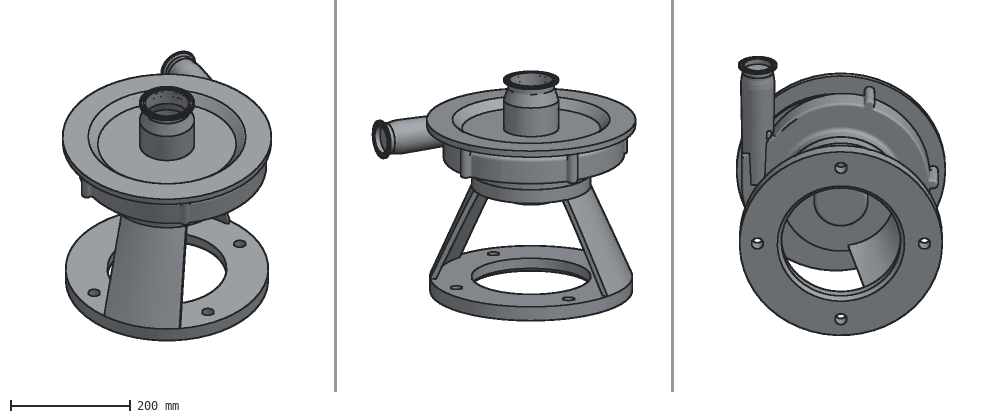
import cadquery as cq
import math

BASE_RADIUS = 170.0
BASE_BORE_RADIUS = 100.0
BASE_THICKNESS = 24.5
BASE_BORE_CHAMFER = 6.5
BOLT_CIRCLE_RADIUS = 140.0
BOLT_HOLE_DIAMETER = 19.5
BOLT_HOLE_COUNT = 4
FIRST_BOLT_ANGLE = 45

DRUM_RADIUS = 100.0
DRUM_BOTTOM = 184.0
COLLAR_RADIUS = 100.5
COLLAR_BOTTOM = 208.0
COLLAR_FLARE = 7.0

HUB_RADIUS = 45.0
HUB_BOTTOM = 162.7
HUB_FILLET = 5.5

LEG_RADIAL_THICKNESS = 10.3
LEG_TOP_WIDTH = 112.5
LEG_BOTTOM_WIDTH = 131.0
LEG_EDGE_FILLET = 2.2

VOLUTE_RADIUS = 158.0
VOLUTE_CENTER = (8.0, 4.0)
VOLUTE_BOTTOM = 233.0
VOLUTE_TOP = 278.5
VOLUTE_TOP_FILLET = 6.5
VOLUTE_BOTTOM_FILLET = 4.0
TONGUE_TIP = (15.5, 142.0)
THROAT_LENGTH = 53.5
LIP_INSET = 11.0
LIP_TOP = 285.5
NECK_INSET = 18.0

PLATE_RADIUS = 175.0
PLATE_BOTTOM = 289.5
PLATE_TOP = 300.0
DISH_RIM_RADIUS = 132.0
DISH_WALL_RADIUS = 129.5
DISH_FLOOR_RADIUS = 116.0
DISH_RIM_DEPTH = 2.0
DISH_DEPTH = 15.5
DISH_FLOOR = PLATE_TOP - DISH_DEPTH

POST_COUNT = 5
POST_RADIUS = 8.5
POST_CIRCLE_RADIUS = 154.3
FIRST_POST_ANGLE = 9
EDGE_TOLERANCE = 0.05
POST_BLEND_FILLET = 2.5

INLET_TOP = 370.5
INLET_BARREL_RADIUS = 46.0
INLET_BARREL_TOP = 335.0
INLET_NECK_RADIUS = 39.0
INLET_NECK_BOTTOM = 356.0
INLET_BORE_RADIUS = 36.5
INLET_BORE_BOTTOM = 342.0
INLET_CHAMBER_RADIUS = 43.0
INLET_CHAMBER_TOP = 324.0

OUTLET_OFFSET = 139.5
OUTLET_HEIGHT = 255.5
OUTLET_ANGLE = 45
OUTLET_LENGTH = 211.5
OUTLET_ROOT_RADIUS = 25.0
OUTLET_MAX_RADIUS = 28.5
OUTLET_NECK_RADIUS = 26.5
OUTLET_FLANGE_RADIUS = 32.0
OUTLET_FERRULE_RADIUS = 26.0
OUTLET_REDUCER_START = 177.5
OUTLET_REDUCER_BEND = 186.0
OUTLET_REDUCER_BEND_RADIUS = 27.5
OUTLET_REDUCER_END = 193.5
OUTLET_FERRULE_START = 198.5
OUTLET_BORE_RADIUS = 23.0
OUTLET_BORE_DEPTH = 10.0

FLANGE_RIM = 2.2
FLANGE_TAPER = 3.0
GROOVE_EDGE_MARGIN = 2.5
GROOVE_WIDTH = 3.5
GROOVE_DEPTH = 1.5


def disc(radius, bottom, top, center=(0, 0)):
    """Upright cylinder between two heights."""
    return cq.Workplane("XY", origin=(*center, bottom)).circle(radius).extrude(top - bottom)


def revolved(profile):
    """Solid of revolution about Z from (radius, height) points."""
    return cq.Workplane("XZ").polyline(profile).close().revolve(360, (0, 0), (0, 1))


def cone(bottom_radius, top_radius, bottom, top):
    """Upright solid frustum between two heights."""
    return revolved([(0, bottom), (bottom_radius, bottom), (top_radius, top), (0, top)])


def base_ring():
    """Bolted foot ring whose bore is chamfered underneath."""
    ring = disc(BASE_RADIUS, 0, BASE_THICKNESS).cut(disc(BASE_BORE_RADIUS, 0, BASE_THICKNESS))
    bottom_bore_edge = ring.faces("<Z").edges(cq.selectors.RadiusNthSelector(0))
    ring = bottom_bore_edge.chamfer(BASE_BORE_CHAMFER)
    return (
        ring.faces(">Z")
        .workplane(origin=(0, 0, BASE_THICKNESS))
        .polarArray(BOLT_CIRCLE_RADIUS, FIRST_BOLT_ANGLE, 360, BOLT_HOLE_COUNT)
        .hole(BOLT_HOLE_DIAMETER)
    )


def legs():
    """Two tapering legs, front and back, cut from a conical shell."""
    outer = cone(BASE_RADIUS, DRUM_RADIUS, BASE_THICKNESS, DRUM_BOTTOM)
    inner = cone(
        BASE_RADIUS - LEG_RADIAL_THICKNESS,
        DRUM_RADIUS - LEG_RADIAL_THICKNESS,
        BASE_THICKNESS,
        DRUM_BOTTOM,
    )
    half_bottom = LEG_BOTTOM_WIDTH / 2
    half_top = LEG_TOP_WIDTH / 2
    width_slice = (
        cq.Workplane("XZ")
        .polyline([
            (-half_bottom, BASE_THICKNESS),
            (half_bottom, BASE_THICKNESS),
            (half_top, DRUM_BOTTOM),
            (-half_top, DRUM_BOTTOM),
        ])
        .close()
        .extrude(BASE_RADIUS, both=True)
    )
    leg = outer.cut(inner).intersect(width_slice).solids(">Y")
    leg = cq.Workplane(leg.val())
    inner_side_edges = leg.edges("%HYPERBOLA").sort(lambda edge: edge.Center().y)[:2]
    leg = inner_side_edges.fillet(LEG_EDGE_FILLET)
    return leg.add(leg.mirror("XZ")).combine()


def drum():
    """Mounting drum, collar flaring into the volute floor, and the shaft hub."""
    hub = disc(HUB_RADIUS, HUB_BOTTOM, DRUM_BOTTOM).faces("<Z").edges().fillet(HUB_FILLET)
    flare_start = VOLUTE_BOTTOM - COLLAR_FLARE
    flare_radius = COLLAR_RADIUS + COLLAR_FLARE
    bend = COLLAR_FLARE * (1 - math.sqrt(0.5))
    collar = (
        cq.Workplane("XZ")
        .moveTo(0, COLLAR_BOTTOM)
        .lineTo(COLLAR_RADIUS, COLLAR_BOTTOM)
        .lineTo(COLLAR_RADIUS, flare_start)
        .threePointArc((COLLAR_RADIUS + bend, VOLUTE_BOTTOM - bend), (flare_radius, VOLUTE_BOTTOM))
        .lineTo(0, VOLUTE_BOTTOM)
        .close()
        .revolve(360, (0, 0), (0, 1))
    )
    return disc(DRUM_RADIUS, DRUM_BOTTOM, COLLAR_BOTTOM).union(collar).union(hub)


def posts(top):
    """Ring of posts rising from the volute floor level."""
    return (
        cq.Workplane("XY", origin=(0, 0, VOLUTE_BOTTOM))
        .polarArray(POST_CIRCLE_RADIUS, FIRST_POST_ANGLE, 360, POST_COUNT)
        .circle(POST_RADIUS)
        .extrude(top - VOLUTE_BOTTOM)
    )


def borders_post(edge):
    """True for an upright edge lying on the surface of a post."""
    for index in range(POST_COUNT):
        angle = math.radians(FIRST_POST_ANGLE + index * 360 / POST_COUNT)
        offset_x = edge.Center().x - POST_CIRCLE_RADIUS * math.cos(angle)
        offset_y = edge.Center().y - POST_CIRCLE_RADIUS * math.sin(angle)
        if abs(math.hypot(offset_x, offset_y) - POST_RADIUS) < EDGE_TOLERANCE:
            return True
    return False


def volute():
    """Eccentric casing with a straight throat along the outlet and a tighter start at the tongue."""
    center_x, center_y = VOLUTE_CENTER
    normal_x = math.cos(math.radians(OUTLET_ANGLE))
    normal_y = math.sin(math.radians(OUTLET_ANGLE))
    throat_start = (center_x + VOLUTE_RADIUS * normal_x, center_y + VOLUTE_RADIUS * normal_y)
    throat_end = (throat_start[0] - THROAT_LENGTH * normal_y, throat_start[1] + THROAT_LENGTH * normal_x)
    body = (
        cq.Workplane("XY", origin=(0, 0, VOLUTE_BOTTOM))
        .moveTo(*throat_end)
        .lineTo(*throat_start)
        .threePointArc((center_x, center_y - VOLUTE_RADIUS), (center_x - VOLUTE_RADIUS, center_y))
        .tangentArcPoint(TONGUE_TIP, relative=False)
        .close()
        .extrude(VOLUTE_TOP - VOLUTE_BOTTOM)
    )
    body = body.union(posts(VOLUTE_TOP))
    body = body.edges("|Z").filter(borders_post).fillet(POST_BLEND_FILLET)
    body = body.faces(">Z").edges().fillet(VOLUTE_TOP_FILLET)
    body = body.faces("<Z").edges().fillet(VOLUTE_BOTTOM_FILLET)
    lip = disc(VOLUTE_RADIUS - LIP_INSET, VOLUTE_TOP, LIP_TOP, VOLUTE_CENTER)
    neck = disc(VOLUTE_RADIUS - NECK_INSET, LIP_TOP, PLATE_BOTTOM, VOLUTE_CENTER)
    shoulder = VOLUTE_TOP - VOLUTE_TOP_FILLET
    upper_posts = posts(PLATE_BOTTOM).intersect(disc(PLATE_RADIUS, shoulder, PLATE_BOTTOM))
    return body.union(lip).union(neck).union(upper_posts)


def dish():
    """Round recess in the top of the plate: bevelled rim, then a sloping wall."""
    return revolved([
        (0, PLATE_TOP),
        (DISH_RIM_RADIUS, PLATE_TOP),
        (DISH_WALL_RADIUS, PLATE_TOP - DISH_RIM_DEPTH),
        (DISH_FLOOR_RADIUS, DISH_FLOOR),
        (0, DISH_FLOOR),
    ])


def inlet():
    """Barrel, reducer and clamp flange standing on the dish floor."""
    rim_bottom = INLET_TOP - FLANGE_RIM
    return revolved([
        (0, DISH_FLOOR),
        (INLET_BARREL_RADIUS, DISH_FLOOR),
        (INLET_BARREL_RADIUS, INLET_BARREL_TOP),
        (INLET_NECK_RADIUS, INLET_NECK_BOTTOM),
        (INLET_NECK_RADIUS, rim_bottom - FLANGE_TAPER),
        (INLET_BARREL_RADIUS, rim_bottom),
        (INLET_BARREL_RADIUS, INLET_TOP),
        (0, INLET_TOP),
    ])


def along_outlet(shape):
    """Lay a Z-axis solid along the outlet axis, pointing to -X +Y."""
    return (
        shape.rotate((0, 0, 0), (1, 0, 0), -90)
        .translate((OUTLET_OFFSET, 0, OUTLET_HEIGHT))
        .rotate((0, 0, 0), (0, 0, 1), OUTLET_ANGLE)
    )


def outlet():
    """Slightly flaring pipe with a reducer, a ferrule and a clamp flange."""
    rim_start = OUTLET_LENGTH - FLANGE_RIM
    return along_outlet(revolved([
        (0, 0),
        (OUTLET_ROOT_RADIUS, 0),
        (OUTLET_MAX_RADIUS, OUTLET_REDUCER_START),
        (OUTLET_REDUCER_BEND_RADIUS, OUTLET_REDUCER_BEND),
        (OUTLET_NECK_RADIUS, OUTLET_REDUCER_END),
        (OUTLET_NECK_RADIUS, OUTLET_FERRULE_START),
        (OUTLET_FERRULE_RADIUS, OUTLET_FERRULE_START),
        (OUTLET_FERRULE_RADIUS, rim_start - FLANGE_TAPER),
        (OUTLET_FLANGE_RADIUS, rim_start),
        (OUTLET_FLANGE_RADIUS, OUTLET_LENGTH),
        (0, OUTLET_LENGTH),
    ]))


def gasket_groove(flange_radius, face_height):
    """Shallow ring groove in a clamp flange face."""
    outer_radius = flange_radius - GROOVE_EDGE_MARGIN
    bottom = face_height - GROOVE_DEPTH
    core = disc(outer_radius - GROOVE_WIDTH, bottom, face_height)
    return disc(outer_radius, bottom, face_height).cut(core)


def inlet_cavity():
    """Bore that widens into the barrel and ends level with the dish floor."""
    return revolved([
        (0, DISH_FLOOR),
        (INLET_CHAMBER_RADIUS, DISH_FLOOR),
        (INLET_CHAMBER_RADIUS, INLET_CHAMBER_TOP),
        (INLET_BORE_RADIUS, INLET_BORE_BOTTOM),
        (INLET_BORE_RADIUS, INLET_TOP),
        (0, INLET_TOP),
    ]).union(gasket_groove(INLET_BARREL_RADIUS, INLET_TOP))


def outlet_cavity():
    """Shallow blind bore and gasket groove in the outlet face."""
    bore = disc(OUTLET_BORE_RADIUS, OUTLET_LENGTH - OUTLET_BORE_DEPTH, OUTLET_LENGTH)
    return along_outlet(bore.union(gasket_groove(OUTLET_FLANGE_RADIUS, OUTLET_LENGTH)))


plate = disc(PLATE_RADIUS, PLATE_BOTTOM, PLATE_TOP)
casing = drum().union(volute()).union(plate).cut(dish())

result = (
    base_ring()
    .union(legs())
    .union(casing)
    .union(inlet())
    .union(outlet())
    .cut(inlet_cavity())
    .cut(outlet_cavity())
)